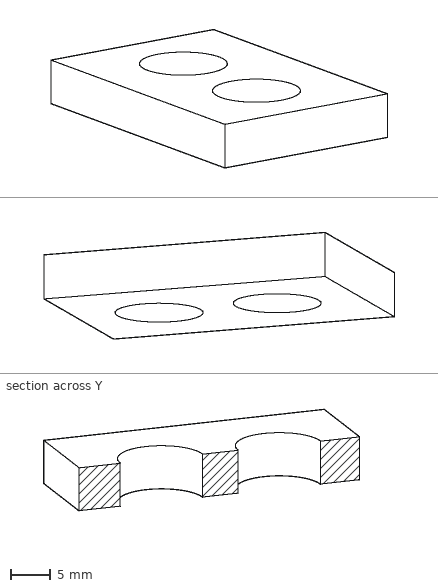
import cadquery as cq

length = 38.1
width = 25.4
thickness = 5.75

hole_diameter = 11.15
hole_spacing = 16.0
pair_offset = 0.15

hole_centres = [(pair_offset + side * hole_spacing / 2, 0) for side in (-1, 1)]

plate = cq.Workplane("XY").box(length, width, thickness)
result = plate.faces(">Z").workplane(origin=(0, 0, 0)).pushPoints(hole_centres).hole(hole_diameter)